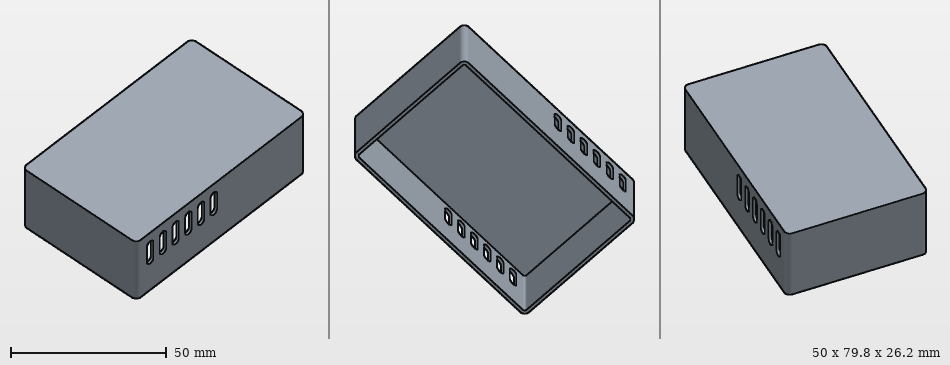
import cadquery as cq

width = 50.0
length = 79.8
height = 26.2
corner_radius = 2.0
wall = 1.2

slot_count = 6
slot_width = 3.0
slot_height = 10.0
slot_pitch = 6.0
slot_top_gap = 4.0
slot_front_gap = 5.0


def rounded_block(size_x, size_y, size_z, radius):
    """Block standing on Z = 0, centred in X and Y, with rounded upright edges."""
    block = cq.Workplane("XY").box(size_x, size_y, size_z, centered=(True, True, False))
    return block.edges("|Z").fillet(radius)


def make_cover():
    """Thin-walled cover, open at the bottom."""
    outside = rounded_block(width, length, height, corner_radius)
    cavity = rounded_block(
        width - 2 * wall, length - 2 * wall, height - wall, corner_radius - wall
    )
    return outside.cut(cavity)


def make_slots():
    """Row of round-ended slot cutters that run across the full width."""
    first_y = -length / 2 + slot_front_gap + slot_width / 2
    centre_z = height - slot_top_gap - slot_height / 2
    centres = [(first_y + i * slot_pitch, centre_z) for i in range(slot_count)]
    return (
        cq.Workplane("YZ")
        .pushPoints(centres)
        .slot2D(slot_height, slot_width, 90)
        .extrude(width / 2, both=True)
    )


result = make_cover().cut(make_slots())